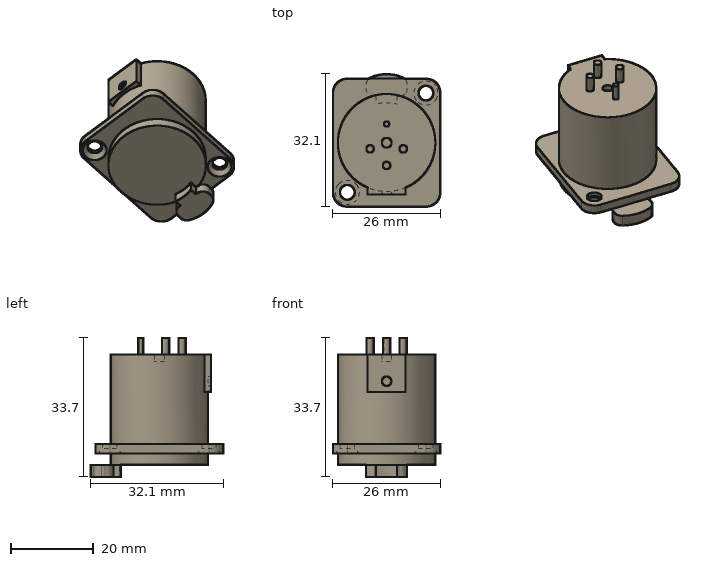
import cadquery as cq
import math

total_height = 33.7
latch_thickness = 2.95
flange_bottom = 5.7
flange_thickness = 2.35
pin_length = 4.0
body_top = total_height - pin_length

body_radius = 11.8
flange_width = 26.0
flange_length = 31.0
flange_corner_radius = 3.5
mount_hole_radius = 1.75
mount_hole_x = 9.5
mount_hole_y = 12.0
sink_radius = 2.9
sink_depth = 1.28

boss_width = 9.15
boss_height = 9.1
boss_reach = 12.5
boss_hole_radius = 1.15
boss_hole_drop = 6.5

pin_radius = 0.9
side_pin_x = 4.0
side_pin_y = -1.48
front_pin_y = -5.5
small_pin_radius = 0.65
small_pin_y = 4.5
top_hole_radius = 1.18
top_hole_depth = 1.7

latch_half_width = 5.0
latch_corner_radius = 2.02
latch_back = 16.6
latch_corner_y = 13.95
latch_shoulder_y = 11.12
stem_half_width = 2.53
stem_end_y = 9.35


def make_body():
    height = body_top - latch_thickness
    body = cq.Workplane("XY").workplane(offset=latch_thickness).circle(body_radius).extrude(height)
    top_hole = (
        cq.Workplane("XY").workplane(offset=body_top).circle(top_hole_radius).extrude(-top_hole_depth)
    )

    boss = cq.Workplane("XY").box(boss_width, boss_reach, boss_height, centered=(True, False, False))
    boss = boss.translate((0, -boss_reach, body_top - boss_height))
    boss_hole = (
        cq.Workplane("XZ", origin=(0, 0, body_top - boss_hole_drop))
        .circle(boss_hole_radius)
        .extrude(boss_reach)
    )
    return boss.cut(boss_hole).union(body).cut(top_hole)


def make_flange():
    flange = (
        cq.Workplane("XY")
        .workplane(offset=flange_bottom)
        .rect(flange_width, flange_length)
        .extrude(flange_thickness)
        .edges("|Z")
        .fillet(flange_corner_radius)
    )
    holes = (
        cq.Workplane("XY")
        .workplane(offset=flange_bottom)
        .pushPoints([(mount_hole_x, mount_hole_y), (-mount_hole_x, -mount_hole_y)])
        .circle(mount_hole_radius)
        .extrude(flange_thickness)
    )
    flange = flange.cut(holes)

    for side in (-1, 1):
        sink = cq.Solid.makeCone(
            sink_radius,
            mount_hole_radius,
            sink_depth,
            pnt=cq.Vector(side * mount_hole_x, side * mount_hole_y, flange_bottom),
        )
        flange = flange.cut(sink)
    return flange


def make_pins():
    base = cq.Workplane("XY").workplane(offset=body_top)
    large_pins = [(-side_pin_x, side_pin_y), (side_pin_x, side_pin_y), (0, front_pin_y)]
    pins = base.pushPoints(large_pins).circle(pin_radius).extrude(pin_length)
    small_pin = base.center(0, small_pin_y).circle(small_pin_radius).extrude(pin_length)
    return pins.union(small_pin)


def make_latch():
    corner_x = latch_half_width - latch_corner_radius
    rise = latch_back - latch_corner_y
    back_radius = (corner_x**2 + rise**2 - latch_corner_radius**2) / (2 * (rise - latch_corner_radius))
    tangent_angle = math.asin(corner_x / (back_radius - latch_corner_radius))

    def back_corner_point(angle):
        x = corner_x + latch_corner_radius * math.sin(angle)
        y = latch_corner_y + latch_corner_radius * math.cos(angle)
        return x, y

    tangent_x, tangent_y = back_corner_point(tangent_angle)
    middle_x, middle_y = back_corner_point((tangent_angle + math.pi / 2) / 2)
    side_y = latch_shoulder_y + latch_corner_radius
    diagonal = latch_corner_radius * math.sqrt(0.5)
    front_middle_x = corner_x + diagonal
    front_middle_y = side_y - diagonal

    hollow_radius = math.hypot(stem_half_width, stem_end_y)

    return (
        cq.Workplane("XY")
        .moveTo(stem_half_width, stem_end_y)
        .lineTo(stem_half_width, latch_shoulder_y)
        .lineTo(corner_x, latch_shoulder_y)
        .threePointArc((front_middle_x, front_middle_y), (latch_half_width, side_y))
        .lineTo(latch_half_width, latch_corner_y)
        .threePointArc((middle_x, middle_y), (tangent_x, tangent_y))
        .threePointArc((0, latch_back), (-tangent_x, tangent_y))
        .threePointArc((-middle_x, middle_y), (-latch_half_width, latch_corner_y))
        .lineTo(-latch_half_width, side_y)
        .threePointArc((-front_middle_x, front_middle_y), (-corner_x, latch_shoulder_y))
        .lineTo(-stem_half_width, latch_shoulder_y)
        .lineTo(-stem_half_width, stem_end_y)
        .threePointArc((0, hollow_radius), (stem_half_width, stem_end_y))
        .close()
        .extrude(latch_thickness)
    )


result = make_body().union(make_flange()).union(make_pins()).union(make_latch())